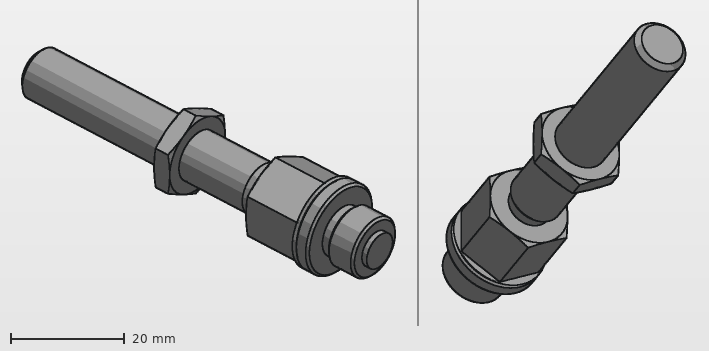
import cadquery as cq
import math

total_length = 79.5

shaft_radius = 10.0 / 2
shaft_end = 52.95
neck_radius = 8.0 / 2
shaft_chamfer = shaft_radius - neck_radius

hex_across_flats = 15.0
hex_chamfer_depth = 0.4
nut_start = 33.6
nut_thickness = 3.65
body_start = 54.9
body_length = 12.0

flange_radius = 18.0 / 2
flange_length = 3.6
groove_depth = 0.55
groove_width = 0.95
groove_bottom_offset = groove_width / 2
rim_chamfer = 0.5

collar_radius = 12.0 / 2
collar_start = 72.4
collar_end = 78.4
collar_chamfer = 0.5
pin_radius = 7.0 / 2

body_end = body_start + body_length
flange_end = body_end + flange_length


def revolved(profile):
    """Turn a list of (x, radius) points about the X axis."""
    closed = [(profile[0][0], 0)] + profile + [(profile[-1][0], 0)]
    return cq.Workplane("XY").polyline(closed).close().revolve(360, (0, 0, 0), (1, 0, 0))


def cylinder(start, end, radius):
    return revolved([(start, radius), (end, radius)])


def hexagon(start, length, chamfer_far_end):
    """Hexagonal prism whose corners are turned off to the inscribed circle."""
    corner_radius = hex_across_flats / math.sqrt(3)
    flat_radius = hex_across_flats / 2
    corners = [
        (corner_radius * math.sin(i * math.pi / 3), corner_radius * math.cos(i * math.pi / 3))
        for i in range(6)
    ]
    prism = cq.Workplane("YZ", origin=(start, 0, 0)).polyline(corners).close().extrude(length)
    end = start + length
    envelope = [(start, flat_radius), (start + hex_chamfer_depth, corner_radius)]
    if chamfer_far_end:
        envelope += [(end - hex_chamfer_depth, corner_radius), (end, flat_radius)]
    else:
        envelope += [(end, corner_radius)]
    return prism.intersect(revolved(envelope))


shaft = cylinder(0, shaft_end, shaft_radius).faces("<X or >X").chamfer(shaft_chamfer)
neck = cylinder(shaft_end, body_start, neck_radius)
nut = hexagon(nut_start, nut_thickness, chamfer_far_end=True)
body = hexagon(body_start, body_length, chamfer_far_end=False)

flange = revolved([
    (body_end, flange_radius),
    (body_end + groove_bottom_offset, flange_radius - groove_depth),
    (body_end + groove_width, flange_radius),
    (flange_end - rim_chamfer, flange_radius),
    (flange_end, flange_radius - rim_chamfer),
])

stem = cylinder(flange_end, collar_start, shaft_radius)
collar = cylinder(collar_start, collar_end, collar_radius).faces("<X or >X").chamfer(collar_chamfer)
pin = cylinder(collar_end, total_length, pin_radius)

result = shaft
for section in (neck, nut, body, flange, stem, collar, pin):
    result = result.union(section)